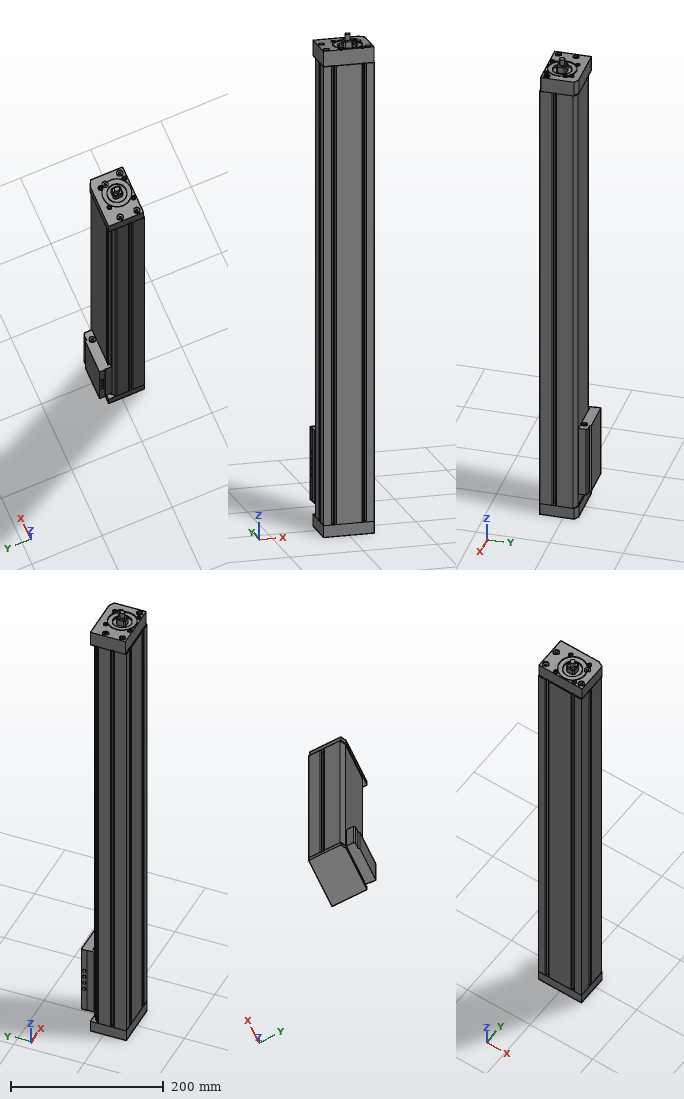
import cadquery as cq

WIDTH = 69.0
TOTAL_LENGTH = 682.0
CENTRE_X = WIDTH / 2

BLOCK_BACK = 51.0
BOTTOM_BLOCK_LENGTH = 16.5
TOP_BLOCK_LENGTH = 21.0
TOP_BLOCK_FRONT = 1.5
SHAFT_OVERHANG = 14.0
BLOCK_TOP = TOTAL_LENGTH - SHAFT_OVERHANG
BLOCK_CORNER_X = 7.5
BLOCK_CORNER_Y = 4.0

SCREW_EDGE = 6.0
SCREW_LOW_Y = 8.0
SCREW_HIGH_Y = 32.0
INNER_SCREW_X = 56.0
SCREW_PLACES = [
    (SCREW_EDGE, SCREW_LOW_Y),
    (SCREW_EDGE, SCREW_HIGH_Y),
    (WIDTH - SCREW_EDGE, SCREW_LOW_Y),
    (INNER_SCREW_X, SCREW_HIGH_Y),
]
SCREW_RECESS_DIAMETER = 8.0
SCREW_RECESS_DEPTH = 2.0
SCREW_HOLE_DIAMETER = 3.3

SHAFT_X = 39.0
SHAFT_Y = 22.5
SHAFT_DIAMETER = 7.0
NUT_WIDTH = 13.0
NUT_HEIGHT = 6.0
NUT_CORNER = 2.0
NUT_TOP_CHAMFER = 1.5
PILOT_DIAMETER = 39.0
PILOT_DEPTH = 1.5
SEAT_DIAMETER = 26.0
SEAT_DEPTH = 4.0
MOTOR_HOLE_DIAMETER = 3.3
MOTOR_RECESS_DIAMETER = 6.0
MOTOR_RECESS_DEPTH = 1.5
MOTOR_HOLE_DEPTH = 10.0
MOTOR_HOLE_SPACING_X = 29.0
MOTOR_HOLE_SPACING_Y = 34.0

RAIL_BOTTOM = BOTTOM_BLOCK_LENGTH
RAIL_TOP = BLOCK_TOP - TOP_BLOCK_LENGTH
RAIL_LENGTH = RAIL_TOP - RAIL_BOTTOM
RAIL_BACK = 50.0
RAIL_SLOPE_START = 39.5
RAIL_SLOPE_BEND_X = 1.0
RAIL_SLOPE_BEND_Y = 41.5
RAIL_SLOPE_END = 44.0
RAIL_LEDGE_Y = 46.0
RAIL_STRIP_Y = 48.0
RAIL_LEDGE_X = 5.0
RAIL_GROOVE_X = 12.0
RAIL_STRIP_X = 10.0
SLOT_SPACING = 41.0
SIDE_SLOT_Y = 20.0
SLOT_MOUTH = 6.0
SLOT_NECK = 3.0
SLOT_LIP = 1.0
SLOT_DEPTH = 5.5

SLIDER_BOTTOM = 33.0
SLIDER_LENGTH = 100.0
SLIDER_WIDTH = 58.0
SLIDER_BACK = 64.0
PLATE_FRONT = 56.0
PAD_EDGE_X = 46.5
PAD_HEIGHT = 2.0
SLIDER_CORNER = 2.0
SKIRT_FRONT = 46.5
SKIRT_OUTER_X = 1.0
SKIRT_INNER_X = 5.0
END_HOLE_X = 46.0
END_HOLE_Y = 54.5
END_HOLE_DIAMETER = 3.3
END_RECESS_DIAMETER = 8.0
END_RECESS_DEPTH = 2.0
END_HOLE_DEPTH = 10.0
SIDE_HOLE_Y = 60.0
SIDE_HOLE_DIAMETER = 4.15
SIDE_HOLE_DEPTH = 5.5
SIDE_HOLE_COUNT = 4
SIDE_HOLE_PITCH = 10.0


def prism(outline, bottom, length):
    """Closed outline extruded upwards from the given height."""
    return cq.Workplane("XY", origin=(0, 0, bottom)).polyline(outline).close().extrude(length)


def cylinder_down(x, y, top, diameter, depth):
    """Cylinder along Z reaching down from the given top height."""
    return cq.Workplane("XY", origin=(x, y, top - depth)).circle(diameter / 2).extrude(depth)


def end_block(front, bottom, length):
    """Block starting at the given front face, with its back right corner cut off."""
    outline = [
        (0, front),
        (WIDTH, front),
        (WIDTH, BLOCK_BACK - BLOCK_CORNER_Y),
        (WIDTH - BLOCK_CORNER_X, BLOCK_BACK),
        (0, BLOCK_BACK),
    ]
    return prism(outline, bottom, length)


def make_top_block():
    """End block with the bearing seat, motor holes and mounting screw holes."""
    block = end_block(TOP_BLOCK_FRONT, RAIL_TOP, TOP_BLOCK_LENGTH)
    for x, y in SCREW_PLACES:
        block = block.cut(cylinder_down(x, y, BLOCK_TOP, SCREW_RECESS_DIAMETER, SCREW_RECESS_DEPTH))
        block = block.cut(cylinder_down(x, y, BLOCK_TOP, SCREW_HOLE_DIAMETER, TOP_BLOCK_LENGTH))
    block = block.cut(cylinder_down(SHAFT_X, SHAFT_Y, BLOCK_TOP, PILOT_DIAMETER, PILOT_DEPTH))
    block = block.cut(cylinder_down(SHAFT_X, SHAFT_Y, BLOCK_TOP, SEAT_DIAMETER, SEAT_DEPTH))
    for side_x in (-1, 1):
        for side_y in (-1, 1):
            x = SHAFT_X + side_x * MOTOR_HOLE_SPACING_X / 2
            y = SHAFT_Y + side_y * MOTOR_HOLE_SPACING_Y / 2
            block = block.cut(cylinder_down(x, y, BLOCK_TOP, MOTOR_RECESS_DIAMETER, MOTOR_RECESS_DEPTH))
            block = block.cut(cylinder_down(x, y, BLOCK_TOP, MOTOR_HOLE_DIAMETER, MOTOR_HOLE_DEPTH))
    return block


def make_shaft():
    """Stub shaft with a chamfered square lock nut, standing on the floor of the bearing seat."""
    floor = BLOCK_TOP - SEAT_DEPTH
    shaft = cylinder_down(SHAFT_X, SHAFT_Y, TOTAL_LENGTH, SHAFT_DIAMETER, TOTAL_LENGTH - floor)
    nut = (
        cq.Workplane("XY", origin=(SHAFT_X, SHAFT_Y, floor))
        .rect(NUT_WIDTH, NUT_WIDTH)
        .extrude(SEAT_DEPTH + NUT_HEIGHT)
        .edges("|Z")
        .chamfer(NUT_CORNER)
        .faces(">Z")
        .chamfer(NUT_TOP_CHAMFER)
    )
    return shaft.union(nut)


def slot_cutter(x, y, angle):
    """Slot with sloped lips, opening towards -Y before it is turned by the angle."""
    outline = [
        (-SLOT_MOUTH / 2, 0),
        (SLOT_MOUTH / 2, 0),
        (SLOT_NECK / 2, SLOT_LIP),
        (SLOT_NECK / 2, SLOT_DEPTH),
        (-SLOT_NECK / 2, SLOT_DEPTH),
        (-SLOT_NECK / 2, SLOT_LIP),
    ]
    cutter = prism(outline, RAIL_BOTTOM, RAIL_LENGTH)
    return cutter.rotate((0, 0, 0), (0, 0, 1), angle).translate((x, y, 0))


def make_rail():
    """Rail with stepped left edge and a slot pair in front, one slot in each side."""
    outline = [
        (0, 0),
        (WIDTH, 0),
        (WIDTH, RAIL_BACK - BLOCK_CORNER_Y),
        (WIDTH - BLOCK_CORNER_X, RAIL_BACK),
        (RAIL_STRIP_X, RAIL_BACK),
        (RAIL_STRIP_X, RAIL_STRIP_Y),
        (RAIL_GROOVE_X, RAIL_STRIP_Y),
        (RAIL_GROOVE_X, RAIL_LEDGE_Y),
        (RAIL_LEDGE_X, RAIL_LEDGE_Y),
        (RAIL_LEDGE_X, RAIL_SLOPE_END),
        (RAIL_SLOPE_BEND_X, RAIL_SLOPE_BEND_Y),
        (0, RAIL_SLOPE_START),
    ]
    rail = prism(outline, RAIL_BOTTOM, RAIL_LENGTH)
    for side in (-1, 1):
        rail = rail.cut(slot_cutter(CENTRE_X + side * SLOT_SPACING / 2, 0, 0))
    return rail.cut(slot_cutter(0, SIDE_SLOT_Y, -90)).cut(slot_cutter(WIDTH, SIDE_SLOT_Y, 90))


def make_slider():
    """Plate lying on the back of the rail, with a skirt hanging over its left edge."""
    outline = [
        (0, PLATE_FRONT),
        (0, SLIDER_BACK),
        (PAD_EDGE_X, SLIDER_BACK),
        (PAD_EDGE_X + PAD_HEIGHT, SLIDER_BACK - PAD_HEIGHT),
        (SLIDER_WIDTH - SLIDER_CORNER, SLIDER_BACK - PAD_HEIGHT),
        (SLIDER_WIDTH, SLIDER_BACK - PAD_HEIGHT - SLIDER_CORNER),
        (SLIDER_WIDTH, RAIL_BACK),
        (SKIRT_INNER_X, RAIL_BACK),
        (SKIRT_INNER_X, SKIRT_FRONT),
        (SKIRT_OUTER_X, SKIRT_FRONT),
        (SKIRT_OUTER_X, PLATE_FRONT),
    ]
    top = SLIDER_BOTTOM + SLIDER_LENGTH
    middle = SLIDER_BOTTOM + SLIDER_LENGTH / 2
    slider = prism(outline, SLIDER_BOTTOM, SLIDER_LENGTH)
    slider = slider.cut(cylinder_down(END_HOLE_X, END_HOLE_Y, top, END_RECESS_DIAMETER, END_RECESS_DEPTH))
    slider = slider.cut(cylinder_down(END_HOLE_X, END_HOLE_Y, top, END_HOLE_DIAMETER, END_HOLE_DEPTH))
    for index in range(SIDE_HOLE_COUNT):
        offset = (index - (SIDE_HOLE_COUNT - 1) / 2) * SIDE_HOLE_PITCH
        hole = (
            cq.Workplane("YZ", origin=(0, SIDE_HOLE_Y, middle + offset))
            .circle(SIDE_HOLE_DIAMETER / 2)
            .extrude(SIDE_HOLE_DEPTH)
        )
        slider = slider.cut(hole)
    return slider


bottom_block = end_block(0, 0, BOTTOM_BLOCK_LENGTH)
top_block = make_top_block()
shaft = make_shaft()
rail = make_rail()
slider = make_slider()

result = cq.Compound.makeCompound(
    [bottom_block.val(), top_block.val(), shaft.val(), rail.val(), slider.val()]
)